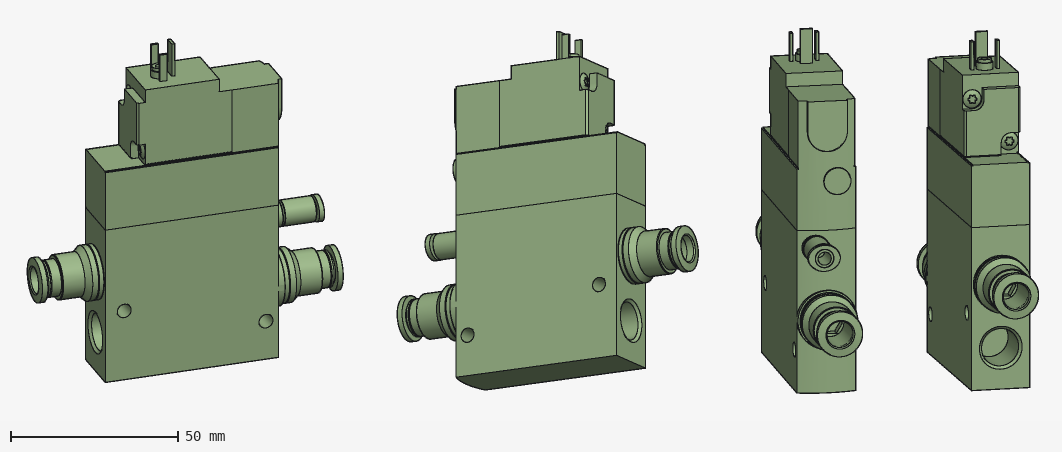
import cadquery as cq
import math

block_width = 18.0
block_depth = 56.5
base_height = 50.0
shoulder_z = 68.85
deck_z = 69.15
deck_width = 17.0
overall_height = 104.5
overall_depth = 96.2

rear_bulge = 1.5
rear_side_y = block_depth - rear_bulge
pad_face_y = 57.1

front_fitting_z = 32.6
rear_fitting_z = 22.55
small_fitting_x = 3.5
small_fitting_z = 44.6
small_fitting_diameter = 8.0
small_fitting_embed = 1.2
open_port_z = 12.7
port_diameter = 11.45
port_mouth_diameter = 13.16
port_depth = 14.0
rear_pad_diameter = 18.1

mounting_hole_diameter = 4.4
mounting_holes = [(6.0, 22.6), (51.0, 12.5)]

coil_width = 17.3
coil_rear_width = 17.4
coil_rear_front_y = 40.3
coil_bottom_z = 69.5
gap_inset = 0.5
coil_top_z = 89.85
tower_top_z = 93.95
tower_rear_y = 36.3
tower_front_y = 12.8
cover_front_y = 10.2
cover_chamfer = 0.65
screw_x = 5.7
pocket_radius = 3.03
upper_screw_z = 86.55
lower_screw_z = 73.1
screw_diameter = 5.6
screw_height = 1.0
screw_recess_depth = 0.7
screw_lobe_count = 6
screw_lobe_circle = 1.0
screw_lobe_radius = 0.4
coil_pad_width = 12.0
coil_pad_bottom_z = 74.3
shoulder_pad_diameter = 8.2
shoulder_pad_x = -3.0

connector_y = 20.15
collar_diameter = 5.0
collar_top_z = 96.1
tip_diameter = 4.13
tip_top_z = 97.1
connector_bore = 2.01
side_pin_x = 3.95
side_pin_size = (0.85, 2.2)
side_pin_top_z = 102.6
ground_pin_y = 24.1
ground_pin_size = (3.65, 0.95)


def box(x_range, y_range, z_range):
    """Box between the given limits on each axis."""
    size = [high - low for low, high in (x_range, y_range, z_range)]
    corner = (x_range[0], y_range[0], z_range[0])
    return cq.Workplane("XY").box(*size, centered=False).translate(corner)


def centred_box(width, y_range, z_range):
    """Box that is symmetric about X = 0."""
    return box((-width / 2, width / 2), y_range, z_range)


def rear_cylinder(diameter, x, y_start, z, length):
    """Cylinder along +Y."""
    plane = cq.Plane(origin=(x, y_start, z), xDir=(-1, 0, 0), normal=(0, 1, 0))
    return cq.Workplane(plane).circle(diameter / 2).extrude(length)


def body_prism(bottom_z, top_z):
    """Full-width block with a gently curved rear face."""
    half = block_width / 2
    return (
        cq.Workplane("XY", origin=(0, 0, bottom_z))
        .moveTo(-half, 0)
        .lineTo(half, 0)
        .lineTo(half, rear_side_y)
        .threePointArc((0, block_depth), (-half, rear_side_y))
        .close()
        .extrude(top_z - bottom_z)
    )


def make_base():
    base = body_prism(0, base_height)

    pad_root_y = rear_side_y - rear_bulge
    pad = rear_cylinder(rear_pad_diameter, 0, pad_root_y, rear_fitting_z, pad_face_y - pad_root_y)
    pad = pad.intersect(centred_box(block_width, (0, pad_face_y), (0, base_height)))
    base = base.union(pad)

    seat = rear_cylinder(
        small_fitting_diameter,
        small_fitting_x,
        block_depth - small_fitting_embed,
        small_fitting_z,
        small_fitting_embed,
    )
    base = base.cut(seat)

    mouth_depth = (port_mouth_diameter - port_diameter) / 2
    port_profile = [
        (0, 0),
        (port_mouth_diameter / 2, 0),
        (port_diameter / 2, mouth_depth),
        (port_diameter / 2, port_depth),
        (0, port_depth),
    ]
    port = cq.Workplane("XY").polyline(port_profile).close().revolve(360, (0, 0, 0), (0, 1, 0))
    base = base.cut(port.translate((0, 0, open_port_z)))

    holes = (
        cq.Workplane("YZ", origin=(-block_width / 2, 0, 0))
        .pushPoints(mounting_holes)
        .circle(mounting_hole_diameter / 2)
        .extrude(block_width)
    )
    return base.cut(holes)


def make_coil():
    """Solenoid block with its tower, cover and screw pockets."""
    rear = centred_box(coil_rear_width, (coil_rear_front_y, block_depth), (deck_z, coil_top_z))
    rear = rear.intersect(body_prism(deck_z, coil_top_z))
    front = centred_box(coil_width, (cover_front_y, coil_rear_front_y), (coil_bottom_z, coil_top_z))
    front = front.faces("<Y").edges("|Z").chamfer(cover_chamfer)
    neck = centred_box(
        coil_width - 2 * gap_inset,
        (cover_front_y + gap_inset, coil_rear_front_y),
        (deck_z, coil_bottom_z),
    )
    tower = centred_box(coil_width, (tower_front_y, tower_rear_y), (coil_bottom_z, tower_top_z))
    coil = front.union(rear).union(neck).union(tower)

    coil = coil.cut(make_pocket(-1, upper_screw_z, coil_top_z))
    return coil.cut(make_pocket(1, lower_screw_z, deck_z))


def make_pocket(side, screw_z, open_z):
    """Corner pocket around a cover screw, open at one side and at height open_z."""
    outer_x = side * block_width / 2
    inner_x = side * (screw_x - pocket_radius)
    up = math.copysign(1, open_z - screw_z)
    closed_z = screw_z - up * pocket_radius
    arc_shift = pocket_radius * math.sin(math.radians(45))
    arc_middle = (side * (screw_x - arc_shift), screw_z - up * arc_shift)
    return (
        cq.Workplane("XZ", origin=(0, tower_front_y, 0))
        .moveTo(outer_x, open_z)
        .lineTo(inner_x, open_z)
        .lineTo(inner_x, screw_z)
        .threePointArc(arc_middle, (side * screw_x, closed_z))
        .lineTo(outer_x, closed_z)
        .close()
        .extrude(tower_front_y)
    )


def make_screw_head(side, screw_z):
    """Domed head with a six-lobed recess, on the floor of a pocket."""
    head_radius = screw_diameter / 2
    dome_radius = (head_radius**2 + screw_height**2) / (2 * screw_height)
    middle_x = head_radius / 2
    middle_rise = math.sqrt(dome_radius**2 - middle_x**2) - (dome_radius - screw_height)
    head = (
        cq.Workplane("XY")
        .lineTo(head_radius, 0)
        .threePointArc((middle_x, -middle_rise), (0, -screw_height))
        .close()
        .revolve(360, (0, 0, 0), (0, 1, 0))
    )
    face = cq.Workplane("XZ", origin=(0, screw_recess_depth - screw_height, 0))
    recess = face.circle(screw_lobe_circle).extrude(screw_recess_depth)
    lobes = (
        face.polarArray(screw_lobe_circle, 0, 360, screw_lobe_count)
        .circle(screw_lobe_radius)
        .extrude(screw_recess_depth)
    )
    head = head.cut(recess).cut(lobes)
    return head.translate((side * screw_x, tower_front_y, screw_z))


def make_rear_pads():
    """Raised pads on the rear: round-bottomed on the coil, round on the shoulder."""
    root_y = rear_side_y - rear_bulge
    pad_length = pad_face_y - root_y

    arc_z = coil_pad_bottom_z + coil_pad_width / 2
    coil_pad = rear_cylinder(coil_pad_width, 0, root_y, arc_z, pad_length)
    coil_pad = coil_pad.union(
        centred_box(coil_pad_width, (root_y, pad_face_y), (arc_z, coil_top_z))
    )

    shoulder_pad_z = deck_z - shoulder_pad_diameter / 2
    shoulder_pad = rear_cylinder(
        shoulder_pad_diameter, shoulder_pad_x, root_y, shoulder_pad_z, pad_length
    )
    return coil_pad, shoulder_pad


def make_connector():
    """Bored collar and three flat contact pins on the tower."""
    top = cq.Workplane("XY", origin=(0, connector_y, tower_top_z))
    collar = top.circle(collar_diameter / 2).extrude(collar_top_z - tower_top_z)
    tip = top.circle(tip_diameter / 2).extrude(tip_top_z - tower_top_z)
    bore = top.circle(connector_bore / 2).extrude(tip_top_z - tower_top_z)
    side_pins = (
        top.pushPoints([(-side_pin_x, 0), (side_pin_x, 0)])
        .rect(*side_pin_size)
        .extrude(side_pin_top_z - tower_top_z)
    )
    ground_pin = (
        top.center(0, ground_pin_y - connector_y)
        .rect(*ground_pin_size)
        .extrude(overall_height - tower_top_z)
    )
    return collar.union(tip).cut(bore), side_pins, ground_pin


def make_valve():
    deck = centred_box(deck_width, (0, block_depth), (shoulder_z, deck_z))
    deck = deck.intersect(body_prism(shoulder_z, deck_z))
    valve = body_prism(base_height, shoulder_z).union(deck).union(make_coil())
    for side, screw_z in ((-1, upper_screw_z), (1, lower_screw_z)):
        valve = valve.union(make_screw_head(side, screw_z))
    for feature in (*make_rear_pads(), *make_connector()):
        valve = valve.union(feature)
    return valve


fitting_length = (overall_depth - pad_face_y) / 2
seat_radius = 16.4 / 2
collar_radius = 17.0 / 2
barrel_radius = 13.8 / 2
barrel_chamfer = 0.25
sleeve_radius = 11.4 / 2
ring_radius = 13.8 / 2
ring_neck_radius = 9.4 / 2
ring_root_radius = 8.6 / 2
tube_radius = 8.0 / 2
tube_mouth_radius = 8.8 / 2
tube_depth = 15.0
socket_sides = 6
socket_across_flats = 6.2
socket_depth = 3.0
socket_turn = 30.0
groove_depth = 0.1
collar_start_y = 0.2
collar_groove_y = (1.6, 1.9)
collar_end_y = 3.8
barrel_start_y = 5.7
barrel_end_y = 12.75
sleeve_groove_y = (15.7, 16.1)
sleeve_end_y = 16.7
ring_start_y = 17.5
ring_rim_y = 19.2

small_length = 13.7
small_radius = small_fitting_diameter / 2
small_edge_chamfer = 0.2
small_groove_radius = 7.8 / 2
small_groove_y = (0.4, 1.3)
small_body_end_y = 11.2
small_neck_radius = 5.0 / 2
small_lip_radius = 5.6 / 2
small_tube_radius = 4.0 / 2
small_tube_depth = 10.0
small_ring_width = 9.7
small_ring_start_y = 11.75
small_ring_end_y = 13.35


def revolve_about_y(profile):
    return cq.Workplane("XY").polyline(profile).close().revolve(360, (0, 0, 0), (0, 1, 0))


def make_large_fitting():
    """Stepped push-in fitting; the profile runs as (radius, height above the seat)."""
    groove_radius = collar_radius - groove_depth
    sleeve_groove_radius = sleeve_radius - groove_depth
    floor_y = fitting_length - tube_depth
    mouth_chamfer = tube_mouth_radius - tube_radius
    profile = [
        (0, 0),
        (seat_radius, 0),
        (seat_radius, collar_start_y),
        (collar_radius, collar_start_y),
        (collar_radius, collar_groove_y[0]),
        (groove_radius, collar_groove_y[0]),
        (groove_radius, collar_groove_y[1]),
        (collar_radius, collar_groove_y[1]),
        (collar_radius, collar_end_y),
        (barrel_radius, barrel_start_y),
        (barrel_radius, barrel_end_y - barrel_chamfer),
        (barrel_radius - barrel_chamfer, barrel_end_y),
        (sleeve_radius, barrel_end_y),
        (sleeve_radius, sleeve_groove_y[0]),
        (sleeve_groove_radius, sleeve_groove_y[0]),
        (sleeve_groove_radius, sleeve_groove_y[1]),
        (sleeve_radius, sleeve_groove_y[1]),
        (sleeve_radius, sleeve_end_y),
        (ring_root_radius, sleeve_end_y),
        (ring_neck_radius, ring_start_y),
        (ring_radius, ring_start_y),
        (ring_radius, ring_rim_y),
        (tube_mouth_radius, fitting_length),
        (tube_radius, fitting_length - mouth_chamfer),
        (tube_radius, floor_y),
        (0, floor_y),
    ]
    socket = (
        cq.Workplane("XZ", origin=(0, floor_y, 0))
        .polygon(socket_sides, socket_across_flats, circumscribed=True)
        .extrude(socket_depth)
        .rotate((0, 0, 0), (0, 1, 0), socket_turn)
    )
    return revolve_about_y(profile).cut(socket)


def make_small_fitting():
    """Slim push-in fitting with an oval release ring."""
    edge = small_edge_chamfer
    groove_start_y, groove_end_y = small_groove_y
    body_profile = [
        (0, -small_fitting_embed),
        (small_radius, -small_fitting_embed),
        (small_radius, groove_start_y),
        (small_groove_radius, groove_start_y + edge),
        (small_groove_radius, groove_end_y - edge),
        (small_radius, groove_end_y),
        (small_radius, small_body_end_y - edge),
        (small_radius - edge, small_body_end_y),
        (small_neck_radius, small_body_end_y),
        (small_neck_radius, small_ring_end_y),
        (small_lip_radius, small_ring_end_y),
        (small_lip_radius, small_length),
        (0, small_length),
    ]
    ring = (
        cq.Workplane("XZ")
        .ellipse(small_ring_width / 2, small_radius)
        .extrude(small_ring_start_y - small_ring_end_y)
        .translate((0, small_ring_start_y, 0))
    )
    bore = rear_cylinder(
        2 * small_tube_radius, 0, small_length - small_tube_depth, 0, small_tube_depth
    )
    return revolve_about_y(body_profile).union(ring).cut(bore)


base = make_base()
valve = make_valve()
large_fittings = [
    make_large_fitting().translate((0, pad_face_y, rear_fitting_z)),
    make_large_fitting().rotate((0, 0, 0), (0, 0, 1), 180).translate((0, 0, front_fitting_z)),
]
small_fitting = make_small_fitting().translate((small_fitting_x, block_depth, small_fitting_z))

result = cq.Compound.makeCompound(
    [
        base.val(),
        valve.val(),
        *[fitting.val() for fitting in large_fittings],
        small_fitting.val(),
    ]
)